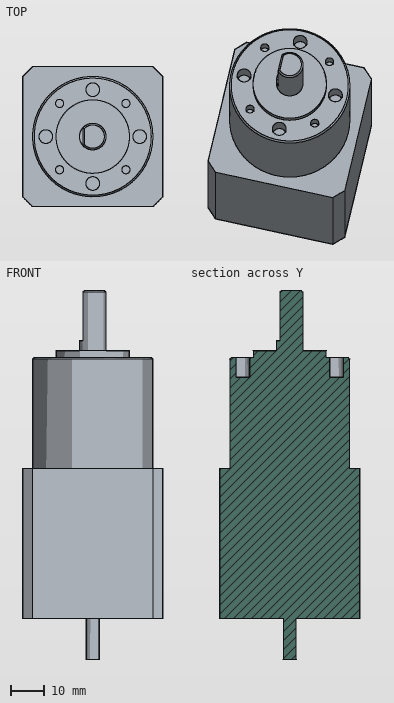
import cadquery as cq

total_height = 110.5
rear_shaft_length = 12.3
motor_height = 45.0
pilot_height = 2.0
output_shaft_length = 18.0
gearbox_height = (
    total_height - rear_shaft_length - motor_height - pilot_height - output_shaft_length
)

motor_width = 42.0
motor_corner_chamfer = 3.0

gearbox_diameter = 36.0
gearbox_edge_chamfer = 0.5
pilot_diameter = 22.0
rear_shaft_diameter = 4.0
output_shaft_diameter = 8.0
output_shaft_chamfer = 0.5

flat_length = 15.0
flat_depth = 1.0

hole_count = 4
hole_circle_radius = 14.0
mounting_hole_diameter = 4.1
small_hole_diameter = 2.4
mounting_hole_depth = 6.0
small_hole_depth = 4.0
small_hole_angle = 45.0

gearbox_base = motor_height
gearbox_top = gearbox_base + gearbox_height
pilot_top = gearbox_top + pilot_height
shaft_top = pilot_top + output_shaft_length


def cylinder(diameter, bottom, top):
    """Solid cylinder on the Z axis between two levels."""
    return cq.Workplane("XY").workplane(offset=bottom).circle(diameter / 2).extrude(top - bottom)


def motor_body():
    """Square block with chamfered vertical corners."""
    block = cq.Workplane("XY").rect(motor_width, motor_width).extrude(motor_height)
    return block.edges("|Z").chamfer(motor_corner_chamfer)


def gearbox():
    """Round housing with a chamfered top edge."""
    housing = cylinder(gearbox_diameter, gearbox_base, gearbox_top)
    return housing.faces(">Z").edges().chamfer(gearbox_edge_chamfer)


def output_shaft():
    """Shaft with a flat on its upper part; the end chamfer follows the D outline."""
    shaft = cylinder(output_shaft_diameter, pilot_top, shaft_top)
    cut_center = flat_depth - output_shaft_diameter
    flat_cut = (
        cq.Workplane("XY")
        .workplane(offset=shaft_top - flat_length)
        .center(cut_center, 0)
        .rect(output_shaft_diameter, output_shaft_diameter)
        .extrude(flat_length)
    )
    return shaft.cut(flat_cut).faces(">Z").edges().chamfer(output_shaft_chamfer)


def face_holes(diameter, depth, start_angle):
    """Ring of holes going down from the gearbox face."""
    return (
        cq.Workplane("XY")
        .workplane(offset=gearbox_top - depth)
        .polarArray(hole_circle_radius, start_angle, 360, hole_count)
        .circle(diameter / 2)
        .extrude(depth)
    )


rear_shaft = cylinder(rear_shaft_diameter, -rear_shaft_length, 0)
pilot = cylinder(pilot_diameter, gearbox_top, pilot_top)

result = (
    motor_body()
    .union(rear_shaft)
    .union(gearbox())
    .union(pilot)
    .union(output_shaft())
    .cut(face_holes(mounting_hole_diameter, mounting_hole_depth, 0))
    .cut(face_holes(small_hole_diameter, small_hole_depth, small_hole_angle))
)